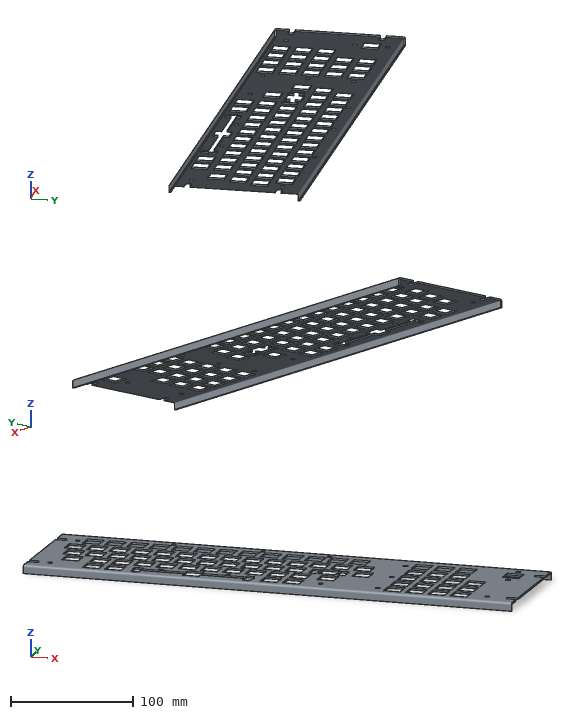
import cadquery as cq

length = 418.5
depth = 109.5
height = 7.0
sheet = 1.5
bend_radius = 2.0
punch_depth = 2 * sheet

row_span = 228.5
key_pitch = row_span / 12
key_web = 5.0
key_size = key_pitch - key_web
space_x = -68.2
space_column = 5.75
first_key_x = space_x - space_column * key_pitch
middle_row_y = -1.6
row_y = [middle_row_y + (2 - row) * key_pitch for row in range(5)]

enter_column = 11.25

numpad_columns = [column + 14.8 for column in range(4)]
row_columns = [
    list(range(13)) + numpad_columns[:3],
    [column - 0.5 for column in range(14)] + numpad_columns[:3],
    [column - 0.25 for column in range(11)] + [enter_column, 12.75] + numpad_columns,
    [0] + [column + 1.25 for column in range(10)] + [11.5] + numpad_columns,
    [1.25, 2.25, space_column, 9.25, 10.25] + numpad_columns,
]

enter_stabilizer_offset = 12.0
space_stabilizer_offset = 47.7
pod_width = 6.5
pod_top = 5.5
pod_bottom = -6.5
clip_width = 3.0
clip_bottom = -8.0
bar_slot_height = 4.5
side_notch_depth = 1.0
side_notch_height = 3.0

lone_key_x = 184.0
lone_key_y = 31.5
lone_screw_gap = 14.0

screw_diameter = 3.8
left_screw_x = -191.0
middle_screw_x = 90.0
space_screw_x = [-97.5, -39.8]
space_screw_y = -34.5
back_screw_x = [-111.8, -35.5, 21.8]
back_screw_y = 46.5
front_screw_x = 41.0

slot_width = 5.0
slot_length = 9.0


def column_x(column):
    return first_key_x + column * key_pitch


def cutter(x_min, x_max, y_min, y_max):
    """Block reaching down from the top face through the top sheet."""
    block = cq.Workplane("XY").box(x_max - x_min, y_max - y_min, punch_depth, centered=False)
    return block.translate((x_min, y_min, height - punch_depth))


def folded_sheet():
    outer = (
        cq.Workplane("XY")
        .box(length, depth, height, centered=(True, True, False))
        .edges("|X and >Z")
        .fillet(bend_radius)
    )
    inner = (
        cq.Workplane("XY")
        .box(length, depth - 2 * sheet, height - sheet, centered=(True, True, False))
        .edges("|X and >Z")
        .fillet(bend_radius - sheet)
    )
    return outer.cut(inner)


def punch(plate, outlines):
    """Cut the sketched outlines, drawn on the top face, down through the top sheet."""
    return plate.cut(outlines.extrude(-punch_depth))


def punch_stabilizer(plate, x, y, offset, notched):
    """Bar slot across the key with a pod at each end; notched adds the outer side notches."""
    slot_top = y + bar_slot_height / 2
    half_pod = pod_width / 2
    half_clip = clip_width / 2
    plate = plate.cut(cutter(x - offset, x + offset, slot_top - bar_slot_height, slot_top))
    for side in (-1, 1):
        pod_x = x + side * offset
        plate = plate.cut(cutter(pod_x - half_pod, pod_x + half_pod, y + pod_bottom, y + pod_top))
        plate = plate.cut(cutter(pod_x - half_clip, pod_x + half_clip, y + clip_bottom, y))
        if notched:
            notch_end = pod_x + side * (half_pod + side_notch_depth)
            x_min, x_max = sorted((pod_x, notch_end))
            plate = plate.cut(cutter(x_min, x_max, slot_top - side_notch_height, slot_top))
    return plate


key_points = [(lone_key_x, lone_key_y)]
for y, columns in zip(row_y, row_columns):
    key_points += [(column_x(column), y) for column in columns]

screw_points = [(x, back_screw_y) for x in back_screw_x]
screw_points += [(x, space_screw_y) for x in space_screw_x]
screw_points += [(left_screw_x, row_y[0]), (left_screw_x, row_y[4]), (front_screw_x, row_y[4])]
screw_points += [(middle_screw_x, row_y[row]) for row in (0, 2, 4)]
screw_points += [(lone_key_x, lone_key_y + side * lone_screw_gap) for side in (-1, 1)]
screw_points.append((lone_key_x, row_y[4]))

slot_points = [(side * length / 2, row_y[row]) for side in (-1, 1) for row in (0, 4)]

top = cq.Workplane("XY", origin=(0, 0, height))
plate = folded_sheet()
plate = punch(plate, top.pushPoints(key_points).rect(key_size, key_size))
plate = punch(plate, top.pushPoints(screw_points).circle(screw_diameter / 2))
plate = punch(plate, top.pushPoints(slot_points).slot2D(2 * slot_length, slot_width))
plate = punch_stabilizer(plate, column_x(enter_column), row_y[2], enter_stabilizer_offset, False)
plate = punch_stabilizer(plate, space_x, row_y[4], space_stabilizer_offset, True)

result = plate